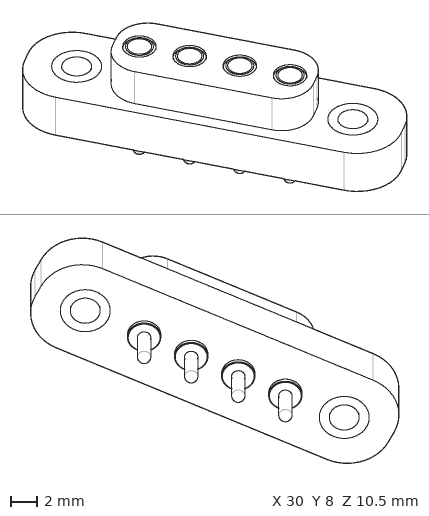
import cadquery as cq
import math

length = 30.0
base_width = 8.0
base_height = 3.75
base_corner_radius = 3.5
block_length = 16.0
block_width = 6.0
block_height = 3.15
block_corner_radius = 2.52
housing_height = base_height + block_height

mount_spacing = 22.0
bushing_diameter = 3.8
bushing_bore = 2.28

pin_count = 4
pin_pitch = block_length / pin_count
pin_body_diameter = 2.55
pin_body_projection = 0.35
lower_bevel = 0.05
rim_bevel = 0.2
tail_diameter = 1.02
pin_drop = 3.6
cup_diameter = 1.85
cup_depth = 0.4

mount_places = [(-mount_spacing / 2, 0), (mount_spacing / 2, 0)]
pin_places = [((i - (pin_count - 1) / 2) * pin_pitch, 0) for i in range(pin_count)]


def rounded_block(size_x, size_y, height, corner_radius, bottom):
    block = cq.Workplane("XY").workplane(offset=bottom).rect(size_x, size_y).extrude(height)
    return block.edges("|Z").fillet(corner_radius)


def make_housing():
    base = rounded_block(length, base_width, base_height, base_corner_radius, 0)
    block = rounded_block(block_length, block_width, block_height, block_corner_radius, base_height)
    mount_holes = (
        cq.Workplane("XY").pushPoints(mount_places).circle(bushing_diameter / 2).extrude(base_height)
    )
    pin_holes = (
        cq.Workplane("XY").pushPoints(pin_places).circle(pin_body_diameter / 2).extrude(housing_height)
    )
    return base.union(block).cut(mount_holes).cut(pin_holes)


def make_bushing(place):
    return (
        cq.Workplane("XY")
        .center(*place)
        .circle(bushing_diameter / 2)
        .circle(bushing_bore / 2)
        .extrude(base_height)
    )


def make_pin(place):
    """Revolve half of the pin's section, with local Y along the pin's axis."""
    body_radius = pin_body_diameter / 2
    tail_radius = tail_diameter / 2
    tip_center = -pin_drop + tail_radius
    half_way = tail_radius * math.sqrt(0.5)
    pin = (
        cq.Workplane("XZ")
        .moveTo(0, -pin_drop)
        .threePointArc((half_way, tip_center - half_way), (tail_radius, tip_center))
        .lineTo(tail_radius, -pin_body_projection)
        .lineTo(body_radius - lower_bevel, -pin_body_projection)
        .lineTo(body_radius, -pin_body_projection + lower_bevel)
        .lineTo(body_radius, housing_height - rim_bevel)
        .lineTo(body_radius - rim_bevel, housing_height)
        .lineTo(cup_diameter / 2, housing_height)
        .lineTo(0, housing_height - cup_depth)
        .close()
        .revolve(360, (0, 0), (0, 1))
    )
    return pin.translate((*place, 0))


housing = make_housing()
bushings = [make_bushing(place).val() for place in mount_places]
pins = [make_pin(place).val() for place in pin_places]

result = cq.Compound.makeCompound([housing.val(), *bushings, *pins])